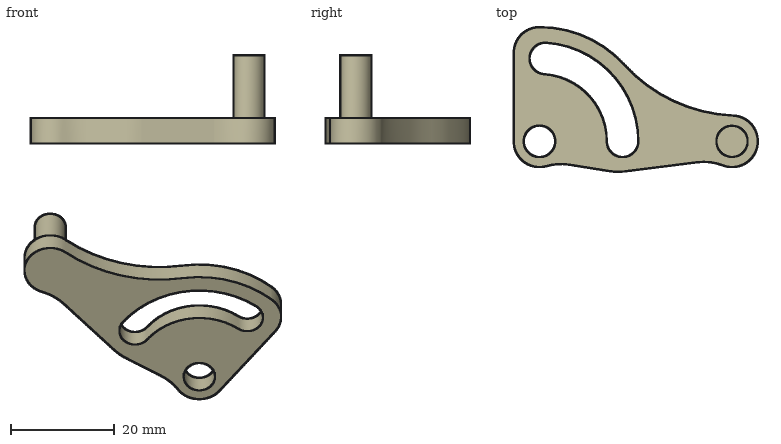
import cadquery as cq
import math

overall_length = 47.0
overall_height = 17.0
plate_thickness = 5.0
hub_radius = 5.0
bore_diameter = 6.0
sector_radius = 22.0
slot_radius = 16.0
slot_end_angle = 86.0
neck_radius = 30.0
belly_radius = 10.0
belly_corner = cq.Vector(14.95, -5.992)
left_slope_angle = 9.1
right_slope_angle = 7.2

pivot = cq.Vector(0, 0)
pin_center = cq.Vector(overall_length - 2 * hub_radius, 0)
top_corner_center = cq.Vector(0, sector_radius - hub_radius)


def polar(radius, degrees):
    angle = math.radians(degrees)
    return cq.Vector(radius * math.cos(angle), radius * math.sin(angle))


def arc_middle(center, radius, start, end):
    """Middle of the shorter arc from start to end."""
    return center + ((start + end) * 0.5 - center).normalized() * radius


def hub_blend(hub, toward_hub, outward):
    """Concave blend between a lower straight and a hub: straight end, middle, hub end."""
    offset = hub - belly_corner
    depth = -offset.dot(outward)
    center_distance = hub_radius + belly_radius
    setback = math.sqrt(center_distance ** 2 - (belly_radius + depth) ** 2)
    straight_end = belly_corner + toward_hub * (offset.dot(toward_hub) - setback)
    center = straight_end + outward * belly_radius
    hub_end = hub + (center - hub).normalized() * hub_radius
    return straight_end, arc_middle(center, belly_radius, straight_end, hub_end), hub_end


def plate():
    to_pivot = sector_radius + neck_radius
    to_pin = hub_radius + neck_radius
    neck_x = (to_pivot ** 2 - to_pin ** 2 + pin_center.x ** 2) / (2 * pin_center.x)
    neck_center = cq.Vector(neck_x, math.sqrt(to_pivot ** 2 - neck_x ** 2))
    rim_top = cq.Vector(0, sector_radius)
    rim_end = neck_center.normalized() * sector_radius
    pin_top = pin_center + (neck_center - pin_center).normalized() * hub_radius

    to_left = polar(1, 180 - left_slope_angle)
    to_right = polar(1, right_slope_angle)
    left_blend = hub_blend(pivot, to_left, polar(1, -90 - left_slope_angle))
    right_blend = hub_blend(pin_center, to_right, polar(1, right_slope_angle - 90))

    half_turn = math.radians((left_slope_angle + right_slope_angle) / 2)
    tangent_length = belly_radius * math.tan(half_turn)
    belly_left = belly_corner + to_left * tangent_length
    belly_right = belly_corner + to_right * tangent_length
    belly_center = belly_right + polar(belly_radius, 90 + right_slope_angle)
    belly_middle = arc_middle(belly_center, belly_radius, belly_left, belly_right)

    left_straight, left_middle, pivot_bottom = left_blend
    right_straight, right_middle, pin_bottom = right_blend
    return (
        cq.Workplane("XY")
        .moveTo(-hub_radius, 0)
        .lineTo(-hub_radius, top_corner_center.y)
        .threePointArc(top_corner_center + polar(hub_radius, 135), rim_top)
        .threePointArc(arc_middle(pivot, sector_radius, rim_top, rim_end), rim_end)
        .threePointArc(arc_middle(neck_center, neck_radius, rim_end, pin_top), pin_top)
        .threePointArc(pin_center + polar(hub_radius, 0), pin_bottom)
        .threePointArc(right_middle, right_straight)
        .lineTo(belly_right.x, belly_right.y)
        .threePointArc(belly_middle, belly_left)
        .lineTo(left_straight.x, left_straight.y)
        .threePointArc(left_middle, pivot_bottom)
        .threePointArc(polar(hub_radius, 225), (-hub_radius, 0))
        .close()
        .extrude(plate_thickness)
    )


def curved_slot():
    half_width = bore_diameter / 2
    inner = slot_radius - half_width
    outer = slot_radius + half_width
    middle_angle = slot_end_angle / 2
    far_tip = polar(slot_radius, slot_end_angle) + polar(half_width, slot_end_angle + 90)
    return (
        cq.Workplane("XY")
        .moveTo(outer, 0)
        .threePointArc(polar(outer, middle_angle), polar(outer, slot_end_angle))
        .threePointArc(far_tip, polar(inner, slot_end_angle))
        .threePointArc(polar(inner, middle_angle), (inner, 0))
        .threePointArc((slot_radius, -half_width), (outer, 0))
        .close()
        .extrude(plate_thickness)
    )


pivot_hole = cq.Workplane("XY").circle(bore_diameter / 2).extrude(plate_thickness)
pin = (
    cq.Workplane("XY")
    .center(pin_center.x, pin_center.y)
    .circle(bore_diameter / 2)
    .extrude(overall_height)
)

result = plate().cut(pivot_hole).cut(curved_slot()).union(pin)